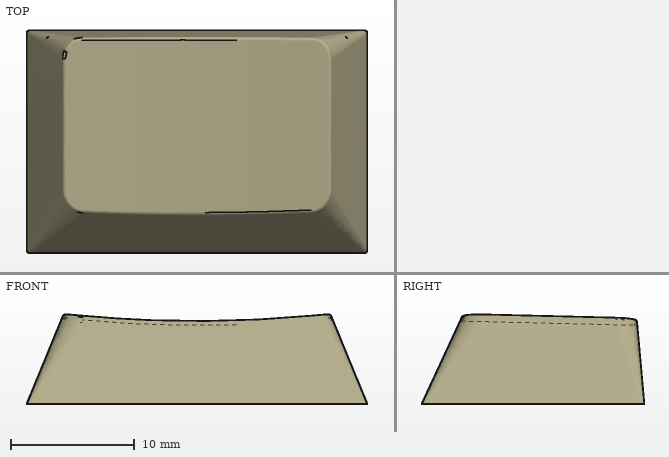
import cadquery as cq

base_length = 27.52
base_width = 18.0
base_corner_radius = 0.25

top_height = 7.5
top_tilt = 1.4

side_inset = 3.13
front_inset = 3.55
back_inset = 0.65
top_corner_radius = 1.82

dish_radius = 98.0
dish_depth = 0.96

rim_fillet = 0.25

top_length = base_length - 2 * side_inset
top_width = base_width - front_inset - back_inset
top_centre_y = (front_inset - back_inset) / 2


def rounded_rectangle(length, width, corner_radius):
    """Rectangle centred on the origin with all four corners rounded."""
    return cq.Sketch().rect(length, width).vertices().fillet(corner_radius)


def tilt_into_place(shape):
    """Move a shape from the XY plane onto the top plane, which drops toward the back."""
    place = cq.Location(cq.Vector(0, top_centre_y, top_height), cq.Vector(1, 0, 0), -top_tilt)
    return shape.moved(place)


def make_body():
    """Tapered cap whose corner radius grows toward the top."""
    base = rounded_rectangle(base_length, base_width, base_corner_radius)
    top = tilt_into_place(rounded_rectangle(top_length, top_width, top_corner_radius))
    return cq.Workplane("XY").placeSketch(base, top).loft(ruled=True)


def make_dish():
    """Large cylinder lying along the tilted plane that hollows the top."""
    cylinder = (
        cq.Workplane("XZ")
        .center(0, dish_radius - dish_depth)
        .circle(dish_radius)
        .extrude(base_width, both=True)
    )
    return tilt_into_place(cylinder.val())


cap = make_body().cut(cq.Workplane(make_dish()))
result = cap.faces(">Z").edges().fillet(rim_fillet)